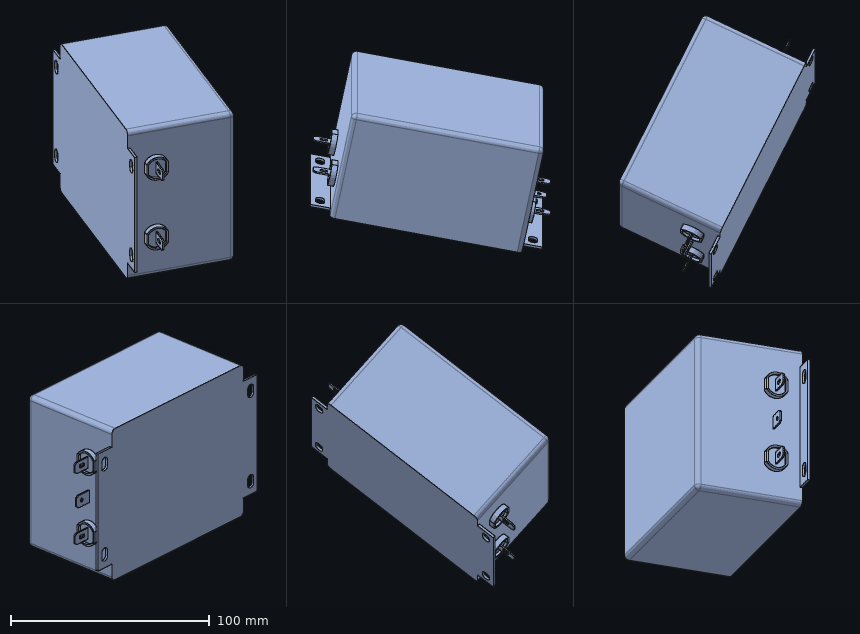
import cadquery as cq

CASE_LENGTH = 98.5
CASE_DEPTH = 57.6
CASE_HEIGHT = 85.5
CASE_ROUND = 2.5

PLATE_LENGTH = 119.0
PLATE_HEIGHT = 66.1
PLATE_THICKNESS = 1.3
SLOT_WIDTH = 4.4
SLOT_LENGTH = 7.3
SLOT_SPACING_X = 109.1
SLOT_SPACING_Z = 51.0

TERMINAL_Y = 15.0
TERMINAL_SPACING_Z = 40.1
COLLAR_DIAMETER = 13.1
COLLAR_WIDTH = 11.5
COLLAR_WALL = 1.0
COLLAR_PROJECTION = 3.0
RECESS_DEPTH = 1.5

POWER_TIP_X = 60.8
EARTH_TIP_X = 58.7
EARTH_OFFSET_Y = 0.7
POWER_TAB_HEIGHT = 6.3
EARTH_TAB_HEIGHT = 6.9
TAB_THICKNESS = 0.8
TAB_CHAMFER_X = 1.5
TAB_CHAMFER_Z = 1.1
TAB_HOLE_WIDTH = 1.8
POWER_HOLE_LENGTH = 3.8
POWER_HOLE_FROM_TIP = 5.3
EARTH_HOLE_FROM_TIP = 3.9

CASE_END_X = CASE_LENGTH / 2
COLLAR_END_X = CASE_END_X + COLLAR_PROJECTION
RECESS_FLOOR_X = COLLAR_END_X - RECESS_DEPTH
EMBED = 0.6


def make_case():
    case = cq.Workplane("XY").box(CASE_LENGTH, CASE_DEPTH, CASE_HEIGHT, centered=(True, False, True))
    return case.edges("|Y").fillet(CASE_ROUND).faces(">Y").edges().fillet(CASE_ROUND)


def make_plate():
    plate = cq.Workplane("XY").box(
        PLATE_LENGTH, PLATE_THICKNESS, PLATE_HEIGHT, centered=(True, False, True)
    )
    slots = (
        cq.Workplane("XZ")
        .rect(SLOT_SPACING_X, SLOT_SPACING_Z, forConstruction=True)
        .vertices()
        .slot2D(SLOT_LENGTH, SLOT_WIDTH, 90)
        .extrude(-PLATE_THICKNESS)
    )
    return plate.cut(slots)


def flatted_disc(diameter, width, start_x, end_x):
    """Disc along +X with two flats facing +Y and -Y."""
    length = end_x - start_x
    disc = cq.Workplane("YZ", origin=(start_x, 0, 0)).circle(diameter / 2).extrude(length)
    flats = cq.Workplane("YZ", origin=(start_x, 0, 0)).rect(width, diameter).extrude(length)
    return disc.intersect(flats)


def make_tab(root_x, tip_x, height, hole_from_tip, hole_length):
    """Blade along +X in the XZ plane; the hole is round when its length equals its width."""
    half_height = height / 2
    tip_half_height = half_height - TAB_CHAMFER_Z
    shoulder_x = tip_x - TAB_CHAMFER_X
    blade = (
        cq.Workplane("XZ")
        .moveTo(root_x, -half_height)
        .lineTo(shoulder_x, -half_height)
        .lineTo(tip_x, -tip_half_height)
        .lineTo(tip_x, tip_half_height)
        .lineTo(shoulder_x, half_height)
        .lineTo(root_x, half_height)
        .close()
        .extrude(TAB_THICKNESS / 2, both=True)
    )
    sketch = cq.Workplane("XZ").center(tip_x - hole_from_tip, 0)
    if hole_length > TAB_HOLE_WIDTH:
        hole = sketch.slot2D(hole_length, TAB_HOLE_WIDTH)
    else:
        hole = sketch.circle(TAB_HOLE_WIDTH / 2)
    return blade.cut(hole.extrude(TAB_THICKNESS, both=True))


def make_terminal():
    collar = flatted_disc(COLLAR_DIAMETER, COLLAR_WIDTH, CASE_END_X - EMBED, COLLAR_END_X)
    recess = flatted_disc(
        COLLAR_DIAMETER - 2 * COLLAR_WALL, COLLAR_WIDTH - 2 * COLLAR_WALL, RECESS_FLOOR_X, COLLAR_END_X
    )
    root_x = RECESS_FLOOR_X - EMBED
    tab = make_tab(root_x, POWER_TIP_X, POWER_TAB_HEIGHT, POWER_HOLE_FROM_TIP, POWER_HOLE_LENGTH)
    return collar.cut(recess).union(tab)


result = make_case().union(make_plate())

for side in (-1, 1):
    for z in (-TERMINAL_SPACING_Z / 2, TERMINAL_SPACING_Z / 2):
        terminal = make_terminal()
        if side < 0:
            terminal = terminal.mirror("YZ")
        result = result.union(terminal.translate((0, TERMINAL_Y, z)))

earth_tab = make_tab(CASE_END_X - EMBED, EARTH_TIP_X, EARTH_TAB_HEIGHT, EARTH_HOLE_FROM_TIP, TAB_HOLE_WIDTH)
result = result.union(earth_tab.mirror("YZ").translate((0, TERMINAL_Y + EARTH_OFFSET_Y, 0)))